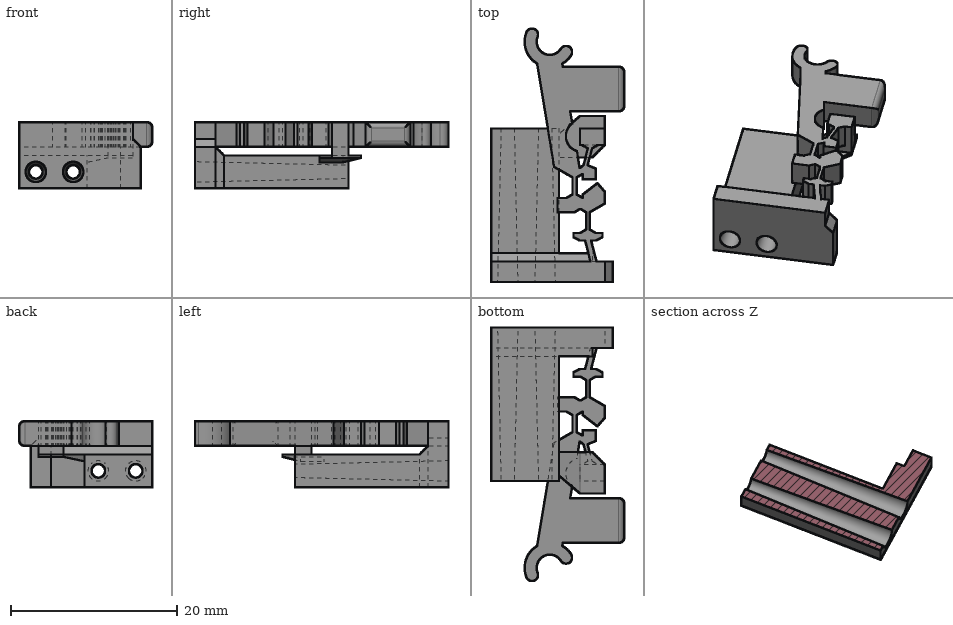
import math

import cadquery as cq

height = 8.0
arm_bottom = 5.0
base_top = 4.0

base_width = 8.2
base_length = 18.5
wall_thickness = 2.5
wall_width = 14.68
frame_right = 13.7
foot_width = 12.2
hole_centers_x = (2.02, 6.52)
hole_center_z = 2.0
hole_front_radius = 1.23
hole_back_radius = 0.8

anchor_left = 10.7
anchor_front = 16.5
tongue_front = 15.0
tongue_back = 20.0
tongue_corner_front_x = 12.2
tongue_corner_back_y = 17.85
tongue_root_thickness = 0.85
tongue_tip_thickness = 0.32

flexure_tilt = math.radians(14.6)
pad_slope = math.radians(30)
pad_run = 0.7
pad_rise = pad_run * math.tan(pad_slope)
root_flexure_x = 12.34
root_flexure_width = 0.75
lower_flexure_x = 11.67
lower_flexure_width = 0.45
upper_flexure_x = 10.06
upper_flexure_width = 0.55
anchor_flexure_x = 11.91
anchor_flexure_width = 0.52

rocker1_front = 5.0
rocker1_shoulder = 5.41
rocker1_back = 5.94
rocker1_half_width = 1.76
rocker1_front_half_width = 1.0

rocker2_left = 8.0
rocker2_front = 8.4
rocker2_back = 10.15
rocker2_right_back = 10.9
rocker2_tip = (12.8, 11.92)
stop_left = 11.04

arm_slope = 0.166
arm_left_corner = (7.6, 13.87)
arm_right_corner = (10.68, 13.74)
arm_end_y = 26.35
heel_front = 12.36
heel_right = 12.63
heel_right_back = 13.68
heel_back = 14.08
clearance_center = (10.9, 17.58)
clearance_radius = 1.89

finger_pad_front = 20.55
finger_pad_back = 25.95
finger_pad_right = 16.07
finger_pad_fillet = 0.7

hook_center = (7.08, 28.94)
hook_inner_radius = 1.57
hook_outer_radius = 3.05
hook_start_angle = math.radians(158)
hook_end_angle = math.radians(328)


def prism(points, bottom, top):
    """Extrude a closed XY outline between two Z levels."""
    return cq.Workplane("XY").workplane(offset=bottom).polyline(points).close().extrude(top - bottom)


def linkage_prism(points):
    return prism(points, arm_bottom, height)


def box(x_range, y_range, z_range):
    left, right = x_range
    front, back = y_range
    return prism([(left, front), (right, front), (right, back), (left, back)], *z_range)


def flexure(front_x, back_x, width, front_y, back_y):
    """Strip of constant X width between two centre points."""
    half = width / 2
    return linkage_prism([
        (front_x - half, front_y),
        (front_x + half, front_y),
        (back_x + half, back_y),
        (back_x - half, back_y),
    ])


def make_wall():
    step = wall_width - frame_right
    outline = [
        (0, 0),
        (wall_width, 0),
        (wall_width, arm_bottom),
        (frame_right, arm_bottom + step),
        (frame_right, height),
        (0, height),
    ]
    return cq.Workplane("XZ").polyline(outline).close().extrude(-wall_thickness)


def make_foot():
    """Strip behind the wall with a 45 degree slope up to the linkage level."""
    foot_back = wall_thickness + arm_bottom - base_top
    outline = [
        (wall_thickness, 0),
        (foot_back, 0),
        (foot_back, base_top),
        (wall_thickness, arm_bottom),
    ]
    return cq.Workplane("YZ").polyline(outline).close().extrude(foot_width)


def make_tapered_hole(center_x):
    """Conical hole along the whole base, wide at the front."""
    axis_start = cq.Vector(center_x, 0, hole_center_z)
    along_y = cq.Vector(0, 1, 0)
    cone = cq.Solid.makeCone(hole_front_radius, hole_back_radius, base_length, axis_start, along_y)
    return cq.Workplane(obj=cone)


def make_tongue():
    """Plate from the base to the anchor, its underside rising to a thin tip."""
    plan = [
        (base_width, tongue_front),
        (tongue_corner_front_x, tongue_front),
        (frame_right, anchor_front),
        (frame_right, tongue_back),
        (anchor_left, tongue_back),
        (base_width, tongue_corner_back_y),
    ]
    side = [
        (base_width, base_top - tongue_root_thickness),
        (anchor_left, base_top - tongue_tip_thickness),
        (frame_right, base_top - tongue_tip_thickness),
        (frame_right, base_top),
        (base_width, base_top),
    ]
    side_band = cq.Workplane("XZ").polyline(side).close().extrude(-tongue_back)
    return prism(plan, 0, base_top).intersect(side_band)


def make_anchor_post():
    x_range = (anchor_left, frame_right)
    return box(x_range, (anchor_front, base_length), (base_top, height))


def make_anchor_pad():
    """Tapered lug on the front of the anchor post that carries its flexure."""
    half = anchor_flexure_width / 2
    pad_tip_y = anchor_front - pad_rise
    outline = [
        (anchor_flexure_x - half - pad_run, anchor_front),
        (anchor_flexure_x - half, pad_tip_y),
        (anchor_flexure_x + half, pad_tip_y),
        (anchor_flexure_x + half + pad_run, anchor_front),
    ]
    return linkage_prism(outline)


def make_first_rocker():
    half = lower_flexure_width / 2
    right_side = [
        (rocker1_front_half_width, rocker1_front),
        (rocker1_half_width, rocker1_shoulder),
        (rocker1_half_width, rocker1_back),
        (half + pad_run, rocker1_back),
        (half, rocker1_back + pad_rise),
    ]
    right = [(lower_flexure_x + x, y) for x, y in right_side]
    left = [(lower_flexure_x - x, y) for x, y in reversed(right_side)]
    return linkage_prism(right + left)


def make_second_rocker():
    lower_half = lower_flexure_width / 2
    upper_half = upper_flexure_width / 2
    lower_left = lower_flexure_x - lower_half
    lower_right = lower_flexure_x + lower_half
    pad_back_y = rocker2_back + pad_rise
    right_rise = (frame_right - lower_right) * math.tan(pad_slope)
    outline = [
        (rocker2_left, rocker2_front),
        (lower_left - 2 * pad_run, rocker2_front),
        (lower_left - pad_run, rocker2_front + pad_rise),
        (lower_left, rocker2_front),
        (lower_right, rocker2_front),
        (frame_right, rocker2_front + right_rise),
        (frame_right, rocker2_right_back),
        rocker2_tip,
        (stop_left, pad_back_y),
        (stop_left, rocker2_back),
        (upper_flexure_x + upper_half, pad_back_y),
        (upper_flexure_x - upper_half, pad_back_y),
        (upper_flexure_x - upper_half - pad_run, rocker2_back),
        (rocker2_left, rocker2_back),
    ]
    return linkage_prism(outline)


def arm_front_y():
    """Y where the upper flexure meets the sloped front of the arm."""
    run = upper_flexure_x - upper_flexure_width / 2 - arm_left_corner[0]
    return arm_left_corner[1] - run * math.tan(pad_slope)


def anchor_flexure_front_x():
    length = anchor_front - pad_rise - heel_back
    return anchor_flexure_x - length * math.tan(flexure_tilt)


def make_heel():
    """Front end of the arm, joining the upper and anchor flexures."""
    upper_half = upper_flexure_width / 2
    anchor_half = anchor_flexure_width / 2
    flexure_top_y = arm_front_y()
    outline = [
        arm_left_corner,
        (upper_flexure_x - upper_half, flexure_top_y),
        (upper_flexure_x + upper_half, flexure_top_y),
        (stop_left, flexure_top_y + pad_rise),
        (stop_left, heel_front),
        (heel_right, heel_front),
        (heel_right, heel_right_back),
        (anchor_flexure_front_x() + anchor_half, heel_back),
        (anchor_flexure_front_x() - anchor_half, heel_back),
        arm_right_corner,
    ]
    return linkage_prism(outline)


def make_arm_bar():
    """Slanted bar with a round clearance around the anchor."""
    def at_end(corner):
        return (corner[0] - arm_slope * (arm_end_y - corner[1]), arm_end_y)

    outline = [arm_left_corner, arm_right_corner, at_end(arm_right_corner), at_end(arm_left_corner)]
    clearance = (
        cq.Workplane("XY")
        .workplane(offset=arm_bottom)
        .center(*clearance_center)
        .circle(clearance_radius)
        .extrude(height - arm_bottom)
    )
    return linkage_prism(outline).cut(clearance)


def make_finger_pad():
    left = arm_right_corner[0] - arm_slope * (finger_pad_back - arm_right_corner[1])
    pad = box((left, finger_pad_right), (finger_pad_front, finger_pad_back), (arm_bottom, height))
    return pad.faces(">X").edges().fillet(finger_pad_fillet)


def make_hook():
    """C-shaped hook with round ends, open away from the arm."""
    def polar(radius, angle):
        return (hook_center[0] + radius * math.cos(angle), hook_center[1] + radius * math.sin(angle))

    mid_radius = (hook_inner_radius + hook_outer_radius) / 2
    end_radius = (hook_outer_radius - hook_inner_radius) / 2
    mid_angle = (hook_start_angle + hook_end_angle) / 2
    end_bulge = end_radius / mid_radius
    outer_start = polar(hook_outer_radius, hook_start_angle)
    outer_middle = polar(hook_outer_radius, mid_angle)
    outer_end = polar(hook_outer_radius, hook_end_angle)
    inner_start = polar(hook_inner_radius, hook_start_angle)
    inner_middle = polar(hook_inner_radius, mid_angle)
    inner_end = polar(hook_inner_radius, hook_end_angle)
    start_tip = polar(mid_radius, hook_start_angle - end_bulge)
    end_tip = polar(mid_radius, hook_end_angle + end_bulge)
    return (
        cq.Workplane("XY")
        .workplane(offset=arm_bottom)
        .moveTo(*outer_start)
        .threePointArc(outer_middle, outer_end)
        .threePointArc(end_tip, inner_end)
        .threePointArc(inner_middle, inner_start)
        .threePointArc(start_tip, outer_start)
        .close()
        .extrude(height - arm_bottom)
    )


def make_flexures():
    root_back_x = root_flexure_x - (rocker1_front - wall_thickness) * math.tan(flexure_tilt)
    rocker1_pad_y = rocker1_back + pad_rise
    rocker2_pad_y = rocker2_back + pad_rise
    anchor_pad_y = anchor_front - pad_rise
    return [
        flexure(root_flexure_x, root_back_x, root_flexure_width, wall_thickness, rocker1_front),
        flexure(lower_flexure_x, lower_flexure_x, lower_flexure_width, rocker1_pad_y, rocker2_front),
        flexure(upper_flexure_x, upper_flexure_x, upper_flexure_width, rocker2_pad_y, arm_front_y()),
        flexure(anchor_flexure_front_x(), anchor_flexure_x, anchor_flexure_width, heel_back, anchor_pad_y),
    ]


result = box((0, base_width), (0, base_length), (0, base_top))
pieces = [
    make_wall(),
    make_foot(),
    make_tongue(),
    make_anchor_post(),
    make_anchor_pad(),
    make_first_rocker(),
    make_second_rocker(),
    make_heel(),
    make_arm_bar(),
    make_finger_pad(),
    make_hook(),
] + make_flexures()
for piece in pieces:
    result = result.union(piece)
for hole_x in hole_centers_x:
    result = result.cut(make_tapered_hole(hole_x))
result = result.clean()